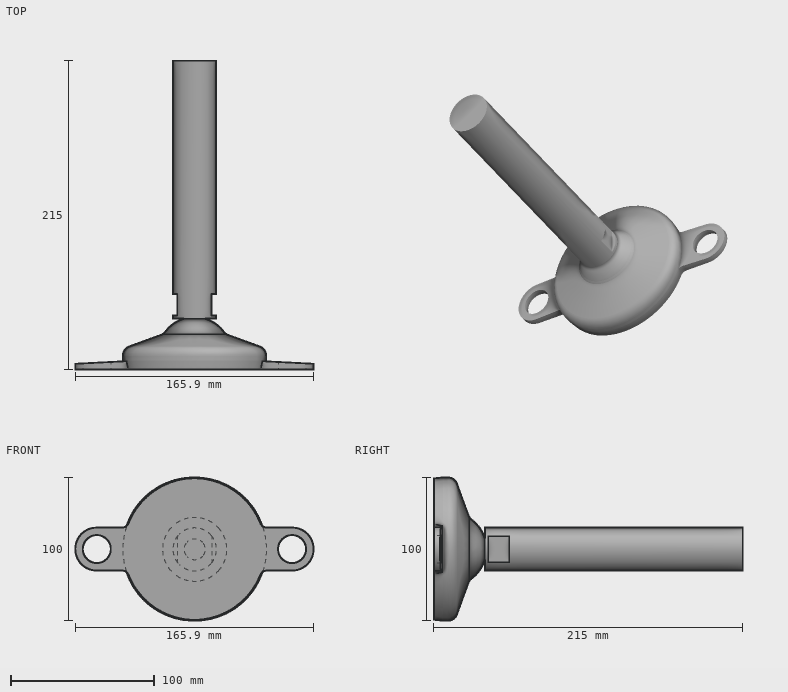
import cadquery as cq
import math

total_length = 215.0

stem_radius = 15.0
stem_start = 35.5
flat_spacing = 24.0
flat_start = 37.6
flat_end = 52.5

sole_radius = 49.2
rim_radius = 100.0 / 2
rim_start = 6.2
rim_end = 9.5
shoulder_arc_radius = 7.0
cone_slope = math.radians(20)
cone_top_height = 24.5
dome_base_radius = 20.9
dome_base_height = 25.8
dome_tip_radius = 7.3

ear_spacing = 135.9
ear_radius = 15.0
ear_hole_diameter = 19.4
ear_root_height = 5.8
ear_tip_height = 4.0
ear_root_fillet = 5.0


def arc_middle(start, end, center):
    """Point halfway along the short arc about a center from start to end."""
    x = (start[0] + end[0]) / 2 - center[0]
    y = (start[1] + end[1]) / 2 - center[1]
    scale = math.dist(start, center) / math.hypot(x, y)
    return center[0] + x * scale, center[1] + y * scale


def make_base():
    """Base disc, conical shoulder and ball dome, revolved about Y."""
    dome_base = (dome_base_radius, dome_base_height)
    dome_tip = (dome_tip_radius, stem_start)
    ball_height = (
        dome_tip_radius**2 + stem_start**2 - dome_base_radius**2 - dome_base_height**2
    ) / (2 * (stem_start - dome_base_height))

    rim = (rim_radius, rim_end)
    shoulder_center = (rim_radius - shoulder_arc_radius, rim_end)
    shoulder = (
        shoulder_center[0] + shoulder_arc_radius * math.sin(cone_slope),
        shoulder_center[1] + shoulder_arc_radius * math.cos(cone_slope),
    )
    cone_top_radius = shoulder[0] - (cone_top_height - shoulder[1]) / math.tan(cone_slope)

    return (
        cq.Workplane("XY")
        .moveTo(0, 0)
        .lineTo(sole_radius, 0)
        .lineTo(rim_radius, rim_start)
        .lineTo(*rim)
        .threePointArc(arc_middle(rim, shoulder, shoulder_center), shoulder)
        .lineTo(cone_top_radius, cone_top_height)
        .lineTo(*dome_base)
        .threePointArc(arc_middle(dome_base, dome_tip, (0, ball_height)), dome_tip)
        .lineTo(0, stem_start)
        .close()
        .revolve(360, (0, 0, 0), (0, 1, 0))
    )


def extrude_along_y(sketch, height):
    """Extrude a sketch on the XZ plane toward +Y."""
    return sketch.extrude(-height)


def make_ears():
    """Two opposed ears with filleted roots, tapering in thickness to the tips."""
    ear_center = ear_spacing / 2
    ear_tip = ear_center + ear_radius
    strap = extrude_along_y(
        cq.Workplane("XZ").slot2D(2 * ear_tip, 2 * ear_radius), ear_root_height
    )
    disc = extrude_along_y(cq.Workplane("XZ").circle(sole_radius), ear_root_height)
    outline = strap.union(disc)
    root_x = math.sqrt(sole_radius**2 - ear_radius**2)
    margin = 0.2
    for side in (-1, 1):
        for edge in (-1, 1):
            corner = cq.Vector(side * root_x, ear_root_height / 2, edge * ear_radius)
            reach = cq.Vector(margin, margin, margin)
            box = cq.selectors.BoxSelector((corner - reach).toTuple(), (corner + reach).toTuple())
            outline = outline.edges(box).fillet(ear_root_fillet)

    taper = (
        cq.Workplane("XY")
        .polyline([
            (-ear_tip, 0),
            (ear_tip, 0),
            (ear_tip, ear_tip_height),
            (sole_radius, ear_root_height),
            (-sole_radius, ear_root_height),
            (-ear_tip, ear_tip_height),
        ])
        .close()
        .extrude(sole_radius, both=True)
    )
    holes = extrude_along_y(
        cq.Workplane("XZ")
        .pushPoints([(-ear_center, 0), (ear_center, 0)])
        .circle(ear_hole_diameter / 2),
        ear_root_height,
    )
    return outline.intersect(taper).cut(holes)


def make_stem():
    """Round stem with a pair of wrench flats facing -X and +X."""
    stem = extrude_along_y(
        cq.Workplane("XZ", origin=(0, stem_start, 0)).circle(stem_radius),
        total_length - stem_start,
    )
    flat_length = flat_end - flat_start
    cut_depth = stem_radius - flat_spacing / 2
    for side in (-1, 1):
        cutter = cq.Workplane("XY").box(cut_depth, flat_length, 2 * stem_radius)
        stem = stem.cut(cutter.translate((
            side * (flat_spacing + cut_depth) / 2,
            (flat_start + flat_end) / 2,
            0,
        )))
    return stem


result = make_base().union(make_ears()).union(make_stem())